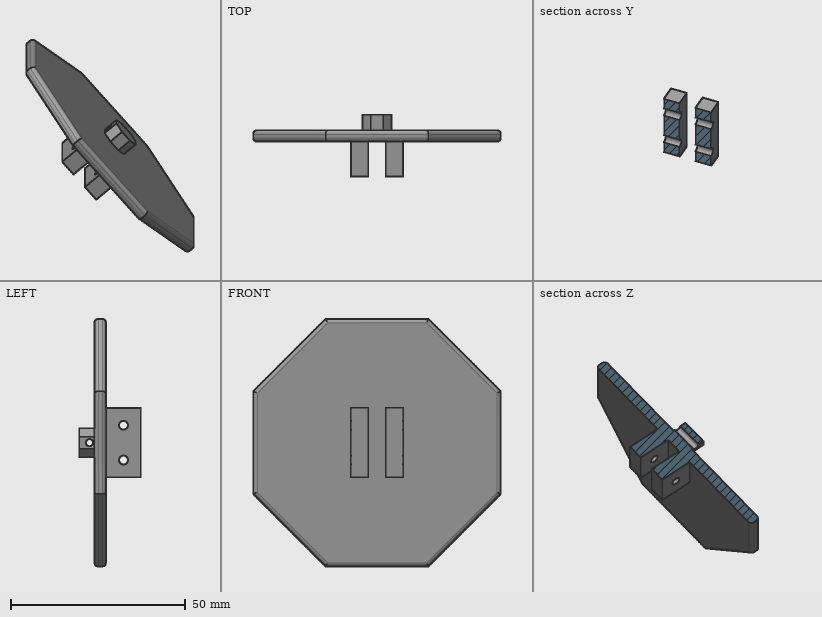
import cadquery as cq
import math

plate_width = 71.2
plate_thickness = 3.35
plate_edge_radius = 1.15

lug_length = 10.05
lug_thickness = 5.0
lug_height = 20.0
lug_gap = 5.0
lug_hole_diameter = 2.5
lug_hole_spacing = lug_height / 2

total_depth = 17.8
boss_width = 8.4
boss_length = total_depth - lug_length - plate_thickness
boss_hole_diameter = 2.0
boss_hole_from_end = 3.0


def octagon_prism(across_flats, y_start, length):
    """Octagonal prism along +Y with flats facing X and Z."""
    across_corners = across_flats / math.cos(math.pi / 8)
    return (
        cq.Workplane("XZ", origin=(0, y_start, 0))
        .transformed(rotate=(0, 0, 22.5))
        .polygon(8, across_corners)
        .extrude(-length)
    )


def cross_hole(diameter, length, y, z):
    """Cylinder along X, centred on the YZ plane."""
    return cq.Workplane("YZ").center(y, z).circle(diameter / 2).extrude(length / 2, both=True)


def make_plate():
    return octagon_prism(plate_width, 0, plate_thickness).faces("<Y or >Y").edges().fillet(plate_edge_radius)


def make_lugs():
    lug_offset = (lug_gap + lug_thickness) / 2
    lugs = (
        cq.Workplane("XZ")
        .pushPoints([(-lug_offset, 0), (lug_offset, 0)])
        .rect(lug_thickness, lug_height)
        .extrude(lug_length)
    )
    lug_span = lug_gap + 2 * lug_thickness
    for side in (-1, 1):
        hole_z = side * lug_hole_spacing / 2
        lugs = lugs.cut(cross_hole(lug_hole_diameter, lug_span, -lug_length / 2, hole_z))
    return lugs


def make_boss():
    hole_y = plate_thickness + boss_length - boss_hole_from_end
    boss = octagon_prism(boss_width, plate_thickness, boss_length)
    return boss.cut(cross_hole(boss_hole_diameter, boss_width, hole_y, 0))


result = make_plate().union(make_lugs()).union(make_boss())